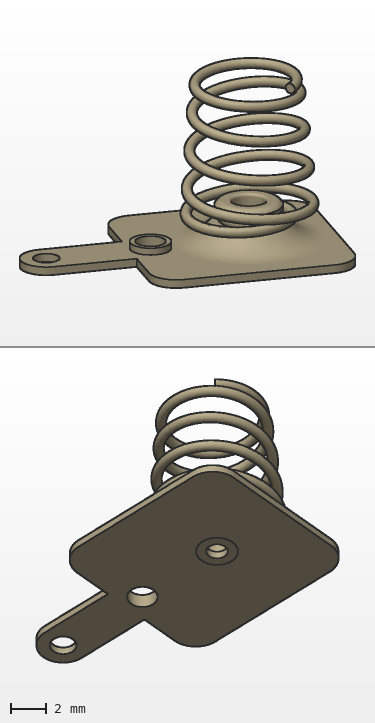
import cadquery as cq
import math


plate_width = 11.2
plate_length = 12.0
plate_back = 5.0
plate_thickness = 0.5
corner_radius = 1.6
overall_length = 18.34
tab_width = 3.0
tab_hole_diameter = 1.5
plate_front = plate_back - plate_length
tab_radius = tab_width / 2
tab_end_y = plate_back - overall_length + tab_radius

eyelet_y = -5.74
eyelet_diameter = 2.35
eyelet_bore = 1.72
eyelet_height = 0.4

dome_radius = 4.3
flare_top_radius = 2.44
flare_top_z = 1.27
dome_top_z = 1.55
dome_top_radius = 1.76

neck_radius = 1.17
head_radius = 1.95
head_bottom_z = 2.31
head_edge_z = 2.55
head_top_z = 2.82
head_flat_radius = 1.49
bore_radius = 0.97
bore_lip_fillet = 0.18
rivet_floor = plate_thickness
vent_radius = 0.6

wire_radius = 0.299
spring_bottom_z = 1.9
spring_top_z = 9.94
first_turn = -1.5
last_turn = 4.5
start_angle = 225
bottom_coil_radius = 3.67
top_coil_radius = 2.8
middle_join_radius = 2.45
neck_coil_radius = 1.54
closed_join_radii = [bottom_coil_radius, middle_join_radius, neck_coil_radius, neck_coil_radius]
climb_start = -0.3
full_pitch_start = 0.7
full_pitch_end = 3.1
climb_end = 4.35
lean_x = 0.015
lean_y = -0.028
base_offset_y = 0.05
points_per_turn = 16


def circular_arc_tangent_to_horizontal(start, end):
    """Middle point of the arc between start and end that is horizontal at start."""
    run = end[0] - start[0]
    rise = end[1] - start[1]
    radius = (run**2 + rise**2) / (2 * rise)
    half_angle = math.asin(run / radius) / 2
    return (
        start[0] + radius * math.sin(half_angle),
        start[1] + radius * (1 - math.cos(half_angle)),
    )


def vertical_cylinder(radius, bottom, top, y=0):
    return cq.Workplane("XY", origin=(0, y, bottom)).circle(radius).extrude(top - bottom)


def make_dome():
    foot = (dome_radius, plate_thickness)
    dome_top = (dome_top_radius, dome_top_z)
    shoulder = (flare_top_radius, flare_top_z)
    return (
        cq.Workplane("XZ")
        .moveTo(0, 0)
        .lineTo(dome_radius, 0)
        .lineTo(*foot)
        .threePointArc(circular_arc_tangent_to_horizontal(foot, shoulder), shoulder)
        .threePointArc(circular_arc_tangent_to_horizontal(dome_top, shoulder), dome_top)
        .lineTo(0, dome_top_z)
        .close()
        .revolve(360, (0, 0), (0, 1))
    )


def make_plate():
    base = (
        cq.Workplane("XY")
        .center(0, (plate_back + plate_front) / 2)
        .rect(plate_width, plate_length)
        .extrude(plate_thickness)
        .edges("|Z")
        .fillet(corner_radius)
    )
    tab = (
        cq.Workplane("XY")
        .center(0, tab_end_y / 2)
        .rect(tab_width, -tab_end_y)
        .extrude(plate_thickness)
        .union(vertical_cylinder(tab_radius, 0, plate_thickness, tab_end_y))
    )
    eyelet_top = plate_thickness + eyelet_height
    eyelet = vertical_cylinder(eyelet_diameter / 2, 0, eyelet_top, eyelet_y)
    body = base.union(tab).union(eyelet).union(make_dome())
    body = body.cut(vertical_cylinder(eyelet_bore / 2, 0, eyelet_top, eyelet_y))
    body = body.cut(vertical_cylinder(tab_hole_diameter / 2, 0, plate_thickness, tab_end_y))
    return body.cut(vertical_cylinder(neck_radius, 0, dome_top_z))


def make_rivet():
    head_flat = (head_flat_radius, head_top_z)
    head_edge = (head_radius, head_edge_z)
    lip_radius = bore_radius + bore_lip_fillet
    lip_bottom_z = head_top_z - bore_lip_fillet
    lip_offset = bore_lip_fillet * math.sqrt(0.5)
    return (
        cq.Workplane("XZ")
        .moveTo(vent_radius, 0)
        .lineTo(neck_radius, 0)
        .lineTo(neck_radius, head_bottom_z)
        .lineTo(head_radius, head_bottom_z)
        .lineTo(*head_edge)
        .threePointArc(circular_arc_tangent_to_horizontal(head_flat, head_edge), head_flat)
        .lineTo(lip_radius, head_top_z)
        .threePointArc(
            (lip_radius - lip_offset, lip_bottom_z + lip_offset),
            (bore_radius, lip_bottom_z),
        )
        .lineTo(bore_radius, rivet_floor)
        .lineTo(vent_radius, rivet_floor)
        .close()
        .revolve(360, (0, 0), (0, 1))
    )


def climb_fraction(turn):
    """Share of the spring height reached: the pitch opens, stays even, then closes."""
    opening = full_pitch_start - climb_start
    closing = climb_end - full_pitch_end
    even = full_pitch_end - full_pitch_start
    opened = min(max(turn - climb_start, 0), opening)
    steady = min(max(turn - full_pitch_start, 0), even)
    closed = min(max(turn - full_pitch_end, 0), closing)
    travelled = opened**2 / (2 * opening) + steady + closed - closed**2 / (2 * closing)
    return travelled / (opening / 2 + even + closing / 2)


def spring_point(turn):
    """Point on the wire centreline."""
    angle = math.radians(start_angle - 360 * turn)
    z = spring_bottom_z + (spring_top_z - spring_bottom_z) * climb_fraction(turn)
    if turn < 0:
        half_turn = min(int(-2 * turn), len(closed_join_radii) - 2)
        outer, inner = closed_join_radii[half_turn:half_turn + 2]
        radius = (outer + inner) / 2
        shift = (outer - inner) / 2 * (-1) ** half_turn
    else:
        radius = bottom_coil_radius + (top_coil_radius - bottom_coil_radius) * turn / last_turn
        shift = 0
    join_angle = math.radians(start_angle)
    rise = z - spring_bottom_z
    across_x = radius * math.cos(angle) + shift * math.cos(join_angle)
    across_y = radius * math.sin(angle) + shift * math.sin(join_angle)
    return cq.Vector(
        across_x + lean_x * rise,
        across_y + base_offset_y + lean_y * rise,
        z - lean_x * across_x - lean_y * across_y,
    )


def make_spring():
    steps = round((last_turn - first_turn) * points_per_turn)
    points = [spring_point(first_turn + i / points_per_turn) for i in range(steps + 1)]
    centreline = cq.Edge.makeSpline(points)
    section = cq.Plane(origin=points[0], normal=centreline.tangentAt(0))
    return (
        cq.Workplane(section)
        .circle(wire_radius)
        .sweep(cq.Workplane(obj=centreline))
    )


plate = make_plate()
rivet = make_rivet()
spring = make_spring()
result = cq.Compound.makeCompound([plate.val(), rivet.val(), spring.val()])